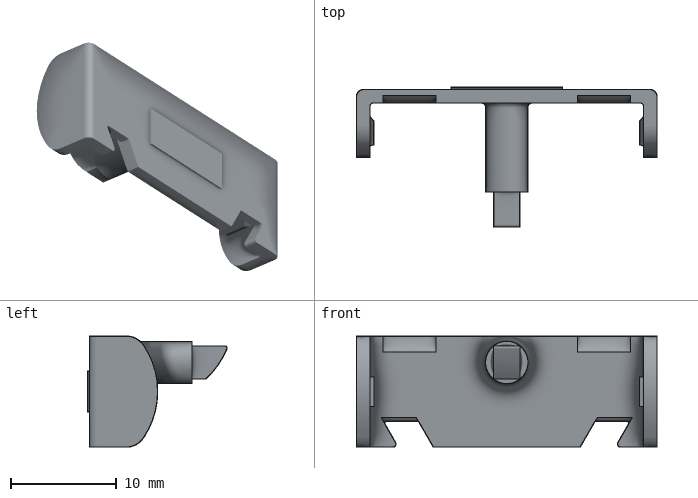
import math

import cadquery as cq

width = 28.4
height = 10.5
thickness = 1.3
flange_length = 6.45
bend_outer_radius = 0.7
bend_inner_radius = 0.3

flange_arc_radius = 7.8
flange_corner_radius = 1.95

stop_height = 2.8
stop_thickness = 0.35
stop_rear = 2.6
stop_front = 5.35
stop_rear_ramp = 0.4
stop_front_ramp = 0.1

pocket_width = 5.0
pocket_height = 1.5
pocket_depth = 0.7
pocket_end_offset = 2.5

notch_width = 3.3
notch_height = 2.8
notch_rear_height = 2.45
notch_bevel_angle = 45.0
notch_end_offset = 2.35
notch_side_angle = 30.0
notch_lip_radius = 0.3
notch_corner_radius = 0.2

pin_radius = 2.0
pin_center_z = 8.0
pin_end = 9.7
pin_root_fillet = 0.4
tongue_width = 2.5
tongue_bottom_end = 11.0
tongue_top_end = 13.1
tongue_arc_radius = 8.0
tongue_tip_radius = 0.2

panel_width = 10.5
panel_height = 3.85
panel_thickness = 0.2

half_width = width / 2
inner_half_width = half_width - thickness
mid_z = height / 2


def mirrored(solid):
    """Return the solid together with its mirror image across X = 0."""
    return solid.union(solid.mirror("YZ"))


def make_channel():
    """U-shaped bent strip, extruded over the full height."""
    outer = cq.Workplane("XY").rect(width, 2 * flange_length).extrude(height)
    outer = outer.edges("|Z and >Y").fillet(bend_outer_radius)
    outer = outer.translate((0, -flange_length, 0))
    inner = cq.Workplane("XY").rect(2 * inner_half_width, 2 * flange_length).extrude(height)
    inner = inner.edges("|Z and >Y").fillet(bend_inner_radius)
    inner = inner.translate((0, -flange_length - thickness, 0))
    front_trim = cq.Workplane("XY").box(width, flange_length, height, centered=(True, False, False))
    front_trim = front_trim.translate((0, -2 * flange_length, 0))
    return outer.cut(inner).cut(front_trim)


def make_flange_envelope():
    """Side outline of the flanges, extruded over the full width."""
    arc_center_y = -flange_length + flange_arc_radius
    corner_y = arc_center_y - math.sqrt(flange_arc_radius**2 - mid_z**2)
    outline = (
        cq.Workplane("YZ")
        .moveTo(0, 0)
        .lineTo(corner_y, 0)
        .threePointArc((-flange_length, mid_z), (corner_y, height))
        .lineTo(0, height)
        .close()
    )
    envelope = outline.extrude(half_width, both=True)
    return envelope.edges("|X and (not >Y)").fillet(flange_corner_radius)


def make_stop():
    """Ramped pad on the inner face of the +X flange."""
    face_x = inner_half_width
    top_x = face_x - stop_thickness
    profile = [
        (face_x, -stop_rear),
        (top_x, -stop_rear - stop_rear_ramp),
        (top_x, -stop_front + stop_front_ramp),
        (face_x, -stop_front),
    ]
    pad = cq.Workplane("XY").workplane(offset=mid_z - stop_height / 2)
    return pad.polyline(profile).close().extrude(stop_height)


def make_pocket():
    """Wedge that is deepest at the top edge and runs out on the plate's front face."""
    profile = [
        (-thickness, height - pocket_height),
        (-thickness, height),
        (-thickness + pocket_depth, height),
    ]
    start_x = half_width - pocket_end_offset - pocket_width
    wedge = cq.Workplane("YZ").workplane(offset=start_x)
    return wedge.polyline(profile).close().extrude(pocket_width)


def notch_prism(top_z):
    """Slanted notch of the given height, cut straight through the plate."""
    slope = math.tan(math.radians(notch_side_angle))
    outer_x = half_width - notch_end_offset - notch_height * slope
    inner_x = outer_x - notch_width
    outline = [
        (outer_x, 0),
        (outer_x + top_z * slope, top_z),
        (inner_x + top_z * slope, top_z),
        (inner_x, 0),
    ]
    return cq.Workplane("XZ").polyline(outline).close().extrude(thickness)


def make_notch():
    """Notch with a rounded acute corner, beveled along its front edge at the top and in that corner."""
    through_notch = notch_prism(notch_rear_height)
    through_notch = through_notch.edges("|Y and >X").fillet(notch_corner_radius)
    bevel_drop = thickness * math.tan(math.radians(notch_bevel_angle))
    bevel_profile = [
        (-thickness, notch_height),
        (0, notch_height - bevel_drop),
        (-thickness, notch_height - bevel_drop),
    ]
    bevel = cq.Workplane("YZ").polyline(bevel_profile).close().extrude(half_width)
    return through_notch.union(notch_prism(notch_height).intersect(bevel))


def round_notch_lips(body):
    """Round the pointed lip at the outer bottom corner of each notch."""
    lip_x = half_width - notch_end_offset - notch_height * math.tan(math.radians(notch_side_angle))
    for x in (-lip_x, lip_x):
        lip_edge = cq.selectors.NearestToPointSelector((x, -thickness / 2, 0))
        body = body.edges(lip_edge).fillet(notch_lip_radius)
    return body


def make_pin():
    """Round pin with a concave fillet at its root."""
    flare_y = -thickness - pin_root_fillet
    diagonal = pin_root_fillet * (1 - math.sqrt(0.5))
    profile = (
        cq.Workplane("XY")
        .moveTo(0, -thickness)
        .lineTo(pin_radius + pin_root_fillet, -thickness)
        .threePointArc((pin_radius + diagonal, -thickness - diagonal), (pin_radius, flare_y))
        .lineTo(pin_radius, -pin_end)
        .lineTo(0, -pin_end)
        .close()
    )
    pin = profile.revolve(360, (0, 0, 0), (0, 1, 0))
    return pin.translate((0, 0, pin_center_z))


def make_tongue():
    """Latch tongue inscribed in the pin's circle, with a curved underside."""
    half_height = math.sqrt(pin_radius**2 - (tongue_width / 2) ** 2)
    top_z = pin_center_z + half_height
    bottom_z = pin_center_z - half_height
    chord_y = tongue_top_end - tongue_bottom_end
    chord = math.hypot(chord_y, 2 * half_height)
    bulge = tongue_arc_radius - math.sqrt(tongue_arc_radius**2 - (chord / 2) ** 2)
    arc_mid = (
        -(tongue_bottom_end + tongue_top_end) / 2 - bulge * 2 * half_height / chord,
        pin_center_z - bulge * chord_y / chord,
    )
    outline = (
        cq.Workplane("YZ")
        .moveTo(-pin_end, bottom_z)
        .lineTo(-tongue_bottom_end, bottom_z)
        .threePointArc(arc_mid, (-tongue_top_end, top_z))
        .lineTo(-pin_end, top_z)
        .close()
    )
    tongue = outline.extrude(tongue_width / 2, both=True)
    return tongue.edges("|X and <Y").fillet(tongue_tip_radius)


def make_panel():
    """Raised panel standing on the rear face of the plate."""
    panel = cq.Workplane("XY").box(panel_width, panel_thickness, panel_height)
    return panel.translate((0, panel_thickness / 2, mid_z))


bracket = make_channel().intersect(make_flange_envelope())
bracket = bracket.cut(mirrored(make_pocket()))
bracket = bracket.cut(mirrored(make_notch()))
bracket = round_notch_lips(bracket)
bracket = bracket.union(mirrored(make_stop()))
bracket = bracket.union(make_pin()).union(make_tongue())
result = bracket.union(make_panel())